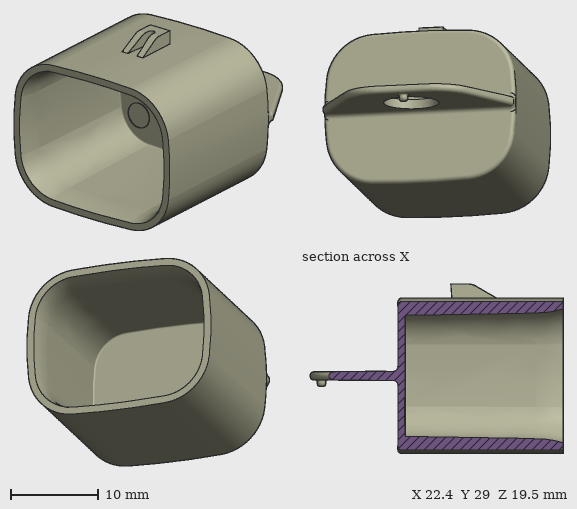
import cadquery as cq
import math


half_width = 11.22
half_height = 8.93
corner_radius = 5.7
corner_center_x = 5.35
corner_center_z = 3.07
body_length = 18.97
back_edge_radius = 0.5

mouth_wall = 0.85
bell_wall = 1.28
floor_wall = 1.5
bell_depth = 3.05
bell_steps = 3
floor_thickness = 0.87
floor_radius = 0.17
floor_y = body_length - floor_thickness

mark_diameter = 3.02
mark_depth = 0.1
mark_x = -7.02
mark_z = -3.97

tab_end_y = 29.0
tab_half_width = 11.16
tab_end_half_width = 5.8
tab_side_angle = 60.0
tab_corner_radius = 4.85
tab_root_thickness = 1.1
tab_end_thickness = 0.95
tab_edge_radius = 0.44
tab_root_radius = 0.52
tab_overlap = 0.72
hole_diameter = 6.35
hole_y = 23.5

pip_diameter = 1.02
pip_tip_z = -1.25
pip_tip_round = 0.38
pip_flare = 0.2
pip_y = 27.7

latch_top_z = 10.53
latch_base_width = 3.0
latch_top_width = 2.8
latch_front_y = 7.68
latch_back_y = 12.8
latch_back_overhang = 0.12
latch_ramp_angle = 30.0
latch_ramp_radius = 1.88
latch_sink = 0.3
slot_mouth_width = 1.3
slot_end_width = 0.75
slot_end_y = 11.7


def bow_radius(offset_along, offset_out, radius):
    """Radius of a side arc that passes through its apex and is tangent to a corner arc."""
    return (offset_along**2 + offset_out**2 - radius**2) / (2 * (offset_out - radius))


def outline(inset, y):
    """Closed body outline moved inward by `inset`, drawn in the plane at the given Y."""
    width = half_width - inset
    height = half_height - inset
    radius = corner_radius - inset
    top_bow = bow_radius(corner_center_x, height - corner_center_z, radius)
    side_bow = bow_radius(corner_center_z, width - corner_center_x, radius)
    top_angle = math.pi / 2 - math.asin(corner_center_x / (top_bow - radius))
    side_angle = math.asin(corner_center_z / (side_bow - radius))

    def on_corner(angle):
        return (
            corner_center_x + radius * math.cos(angle),
            corner_center_z + radius * math.sin(angle),
        )

    top_x, top_z = on_corner(top_angle)
    mid_x, mid_z = on_corner((top_angle + side_angle) / 2)
    side_x, side_z = on_corner(side_angle)
    return (
        cq.Workplane("XZ", origin=(0, y, 0))
        .moveTo(-top_x, top_z)
        .threePointArc((0, height), (top_x, top_z))
        .threePointArc((mid_x, mid_z), (side_x, side_z))
        .threePointArc((width, 0), (side_x, -side_z))
        .threePointArc((mid_x, -mid_z), (top_x, -top_z))
        .threePointArc((0, -height), (-top_x, -top_z))
        .threePointArc((-mid_x, -mid_z), (-side_x, -side_z))
        .threePointArc((-width, 0), (-side_x, side_z))
        .threePointArc((-mid_x, mid_z), (-top_x, top_z))
        .close()
    )


def loft(sections, ruled):
    """Solid through (inset, y) sections of the body outline."""
    wires = [outline(inset, y).val() for inset, y in sections]
    return cq.Workplane(obj=cq.Solid.makeLoft(wires, ruled))


def make_body():
    body = outline(0, 0).extrude(-body_length)
    return body.faces(">Y").edges().fillet(back_edge_radius)


def make_cavity():
    flare = bell_wall - mouth_wall
    flare_radius = (bell_depth**2 + flare**2) / (2 * flare)
    bell_sections = []
    for step in range(bell_steps + 1):
        y = bell_depth * step / bell_steps
        rise = flare_radius - math.sqrt(flare_radius**2 - (bell_depth - y) ** 2)
        bell_sections.append((bell_wall - rise, y))
    bell = loft(bell_sections, ruled=False)

    deep = loft([(bell_wall, bell_depth), (floor_wall, floor_y)], ruled=True)
    deep = deep.faces(">Y").edges().fillet(floor_radius)
    mark = (
        cq.Workplane("XZ", origin=(mark_x, floor_y - mark_depth, mark_z))
        .circle(mark_diameter / 2)
        .extrude(-2 * mark_depth)
    )
    return bell.union(deep).union(mark)


def make_tab():
    side_drop = (tab_half_width - tab_end_half_width) * math.tan(math.radians(tab_side_angle))
    shoulder_y = tab_end_y - side_drop
    root_y = body_length - tab_overlap
    plan = (
        cq.Workplane("XY")
        .polyline([
            (-tab_half_width, root_y),
            (-tab_half_width, shoulder_y),
            (-tab_end_half_width, tab_end_y),
            (tab_end_half_width, tab_end_y),
            (tab_half_width, shoulder_y),
            (tab_half_width, root_y),
        ])
        .close()
        .extrude(tab_root_thickness + tab_root_radius, both=True)
        .edges("|Z and >Y")
        .fillet(tab_corner_radius)
    )

    root_half = tab_root_thickness / 2
    end_half = tab_end_thickness / 2
    flare_y = body_length + tab_root_radius
    flare_half = root_half + tab_root_radius
    bend = tab_root_radius * (1 - math.sqrt(0.5))
    profile = (
        cq.Workplane("YZ")
        .moveTo(root_y, -flare_half)
        .lineTo(body_length, -flare_half)
        .threePointArc((body_length + bend, -root_half - bend), (flare_y, -root_half))
        .lineTo(tab_end_y, -end_half)
        .lineTo(tab_end_y, end_half)
        .lineTo(flare_y, root_half)
        .threePointArc((body_length + bend, root_half + bend), (body_length, flare_half))
        .lineTo(root_y, flare_half)
        .close()
        .extrude(tab_half_width, both=True)
    )
    return (
        plan.intersect(profile)
        .edges("(not (|X or |Z)) or (|X and >Y)")
        .fillet(tab_edge_radius)
    )


def make_hole():
    return (
        cq.Workplane("XY", origin=(0, hole_y, 0))
        .circle(hole_diameter / 2)
        .extrude(tab_root_thickness, both=True)
    )


def make_pip():
    radius = pip_diameter / 2
    tip_bend = pip_tip_round * (1 - math.sqrt(0.5))
    flare_bend = pip_flare * (1 - math.sqrt(0.5))
    base_z = -tab_end_thickness / 2
    return (
        cq.Workplane("XZ", origin=(0, pip_y, 0))
        .moveTo(0, 0)
        .lineTo(0, pip_tip_z)
        .lineTo(radius - pip_tip_round, pip_tip_z)
        .threePointArc((radius - tip_bend, pip_tip_z + tip_bend), (radius, pip_tip_z + pip_tip_round))
        .lineTo(radius, base_z - pip_flare)
        .threePointArc((radius + flare_bend, base_z - flare_bend), (radius + pip_flare, base_z))
        .lineTo(radius + pip_flare, 0)
        .close()
        .revolve(360, (0, 0, 0), (0, 1, 0))
    )


def make_latch():
    base_z = half_height - latch_sink
    rise = latch_top_z - half_height
    ramp_run = rise / math.tan(math.radians(latch_ramp_angle))
    ramp_top_y = latch_front_y + ramp_run
    profile = (
        cq.Workplane("YZ")
        .polyline([
            (latch_front_y, base_z),
            (latch_front_y, half_height),
            (ramp_top_y, latch_top_z),
            (latch_back_y + latch_back_overhang, latch_top_z),
            (latch_back_y, half_height),
            (latch_back_y, base_z),
        ])
        .close()
        .extrude(latch_base_width, both=True)
        .edges(cq.selectors.NearestToPointSelector((0, ramp_top_y, latch_top_z)))
        .fillet(latch_ramp_radius)
    )
    drafted_sides = (
        cq.Workplane("XZ")
        .polyline([
            (-latch_base_width / 2, base_z),
            (-latch_base_width / 2, half_height),
            (-latch_top_width / 2, latch_top_z),
            (latch_top_width / 2, latch_top_z),
            (latch_base_width / 2, half_height),
            (latch_base_width / 2, base_z),
        ])
        .close()
        .extrude(-body_length)
    )
    slot_round = slot_end_width / 2
    slot = (
        cq.Workplane("XY", origin=(0, 0, base_z))
        .moveTo(-slot_mouth_width / 2, latch_front_y)
        .lineTo(-slot_round, slot_end_y - slot_round)
        .threePointArc((0, slot_end_y), (slot_round, slot_end_y - slot_round))
        .lineTo(slot_mouth_width / 2, latch_front_y)
        .close()
        .extrude(latch_top_z - base_z)
    )
    return profile.intersect(drafted_sides).cut(slot)


result = (
    make_body()
    .union(make_latch())
    .cut(make_cavity())
    .union(make_tab())
    .cut(make_hole())
    .union(make_pip())
)